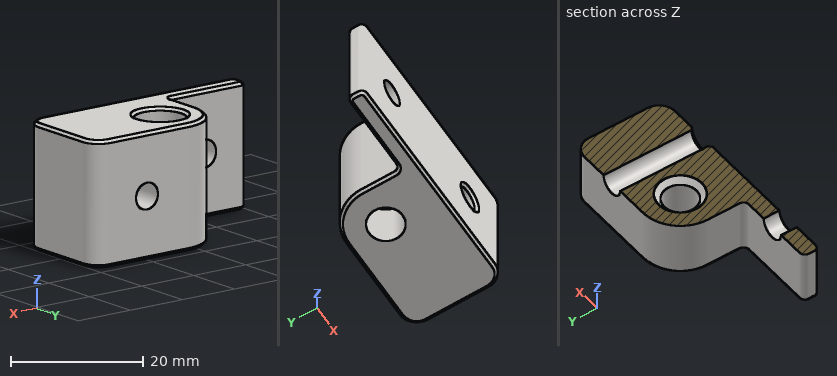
import cadquery as cq

length = 40.0
depth = 17.0
height = 20.0

flange_thickness = 3.0
block_left = 15.0
boss_radius = 7.0
block_corner_radius = 3.0
flange_corner_radius = 1.0
inner_corner_radius = 1.0

bore_x = block_left + boss_radius
bore_y = depth - boss_radius
bore_diameter = 8.0
bore_mouth_diameter = 9.0
bore_exit_diameter = 6.0
bore_shoulder_depth = height / 2

edge_chamfer = (bore_mouth_diameter - bore_diameter) / 2

flange_hole_x = 8.0
flange_hole_diameter = 4.4
block_hole_x = 30.0
block_hole_diameter = 4.2


def make_body():
    """Extrude the rounded plan outline and chamfer its top and bottom rims."""
    body = (
        cq.Workplane("XY")
        .moveTo(0, 0)
        .lineTo(length, 0)
        .lineTo(length, depth)
        .lineTo(bore_x, depth)
        .radiusArc((block_left, bore_y), -boss_radius)
        .lineTo(block_left, flange_thickness)
        .lineTo(0, flange_thickness)
        .close()
        .extrude(height)
    )
    body = body.edges("|Z and >X").fillet(block_corner_radius)
    body = body.edges("|Z and <X").fillet(flange_corner_radius)
    inner_corner = cq.selectors.NearestToPointSelector((block_left, flange_thickness, height / 2))
    body = body.edges("|Z").edges(inner_corner).fillet(inner_corner_radius)
    return body.faces("<Z or >Z").chamfer(edge_chamfer)


def make_bore():
    """Revolve the stepped bore: chamfered mouth, wide bore, 45 degree shoulder, narrow exit."""
    bore_radius = bore_diameter / 2
    exit_radius = bore_exit_diameter / 2
    shoulder_top = height - bore_shoulder_depth
    shoulder_bottom = shoulder_top - (bore_radius - exit_radius)
    return (
        cq.Workplane("XZ", origin=(bore_x, bore_y, 0))
        .moveTo(0, 0)
        .lineTo(exit_radius, 0)
        .lineTo(exit_radius, shoulder_bottom)
        .lineTo(bore_radius, shoulder_top)
        .lineTo(bore_radius, height - edge_chamfer)
        .lineTo(bore_mouth_diameter / 2, height)
        .lineTo(0, height)
        .close()
        .revolve(360, (0, 0), (0, 1))
    )


def make_cross_hole(x, diameter, hole_length):
    """Plain cylinder along +Y from the flat face at mid height."""
    return cq.Workplane("XZ", origin=(x, 0, height / 2)).circle(diameter / 2).extrude(-hole_length)


def make_block_hole_mouth():
    """45 degree cone that widens the block hole at the flat face."""
    hole_radius = block_hole_diameter / 2
    cone = cq.Solid.makeCone(
        hole_radius + edge_chamfer,
        hole_radius,
        edge_chamfer,
        pnt=cq.Vector(block_hole_x, 0, height / 2),
        dir=cq.Vector(0, 1, 0),
    )
    return cq.Workplane(obj=cone)


flange_hole = make_cross_hole(flange_hole_x, flange_hole_diameter, flange_thickness)
block_hole = make_cross_hole(block_hole_x, block_hole_diameter, depth).union(make_block_hole_mouth())

result = make_body().cut(make_bore()).cut(flange_hole).cut(block_hole)